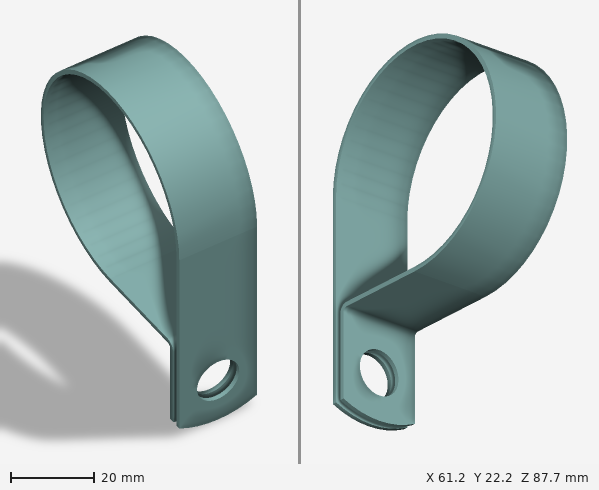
import cadquery as cq
import math

height = 87.7
width = 22.2
ring_diameter = 61.15
thickness = 1.2

tab_gap = 1.6
bend_inner_radius = 1.1
tip_rise = 2.55
hole_diameter = 12.0
hole_above_tip = 12.7

outer_radius = ring_diameter / 2
inner_radius = outer_radius - thickness
bend_outer_radius = bend_inner_radius + thickness
tip_z = outer_radius - height
tab_right = inner_radius - tab_gap
tab_left = tab_right - thickness
bend_x = tab_left - bend_inner_radius
bend_z = -outer_radius - bend_inner_radius
diagonal = math.sqrt(0.5)


def strap():
    """Bent strip: straight leg, three-quarter ring, flat floor and bent tab."""
    return (
        cq.Workplane("XZ")
        .moveTo(outer_radius, tip_z)
        .lineTo(outer_radius, 0)
        .threePointArc((-outer_radius * diagonal, outer_radius * diagonal), (0, -outer_radius))
        .lineTo(bend_x, -outer_radius)
        .threePointArc(
            (bend_x + bend_inner_radius * diagonal, bend_z + bend_inner_radius * diagonal),
            (tab_left, bend_z),
        )
        .lineTo(tab_left, tip_z)
        .lineTo(tab_right, tip_z)
        .lineTo(tab_right, bend_z)
        .threePointArc(
            (bend_x + bend_outer_radius * diagonal, bend_z + bend_outer_radius * diagonal),
            (bend_x, -inner_radius),
        )
        .lineTo(0, -inner_radius)
        .threePointArc((-inner_radius * diagonal, inner_radius * diagonal), (inner_radius, 0))
        .lineTo(inner_radius, tip_z)
        .close()
        .extrude(width / 2, both=True)
    )


def rounded_tip_envelope():
    """Block around the whole strap whose lower end is a shallow arc across the width."""
    return (
        cq.Workplane("YZ")
        .moveTo(-width / 2, outer_radius)
        .lineTo(-width / 2, tip_z + tip_rise)
        .threePointArc((0, tip_z), (width / 2, tip_z + tip_rise))
        .lineTo(width / 2, outer_radius)
        .close()
        .extrude(outer_radius, both=True)
    )


def screw_hole():
    """Cylinder along X that passes through both tabs."""
    return (
        cq.Workplane("YZ")
        .center(0, tip_z + hole_above_tip)
        .circle(hole_diameter / 2)
        .extrude(outer_radius)
    )


result = strap().intersect(rounded_tip_envelope()).cut(screw_hole())